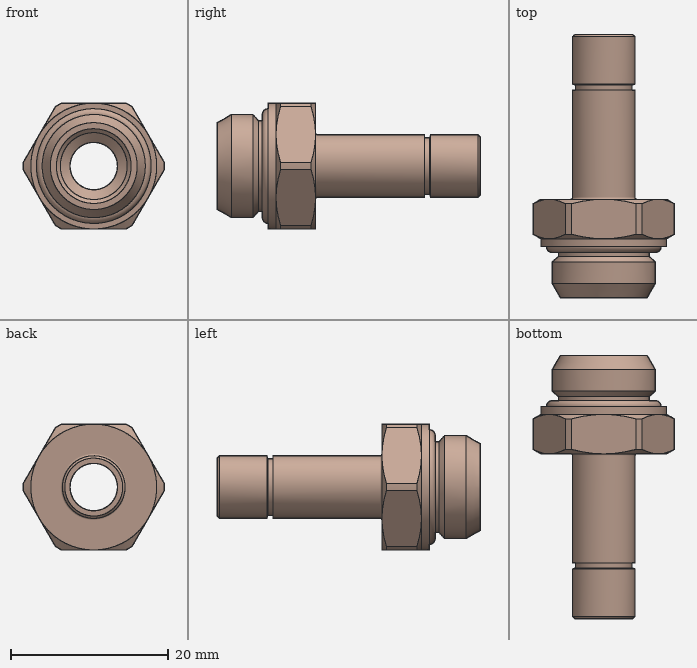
import cadquery as cq
import math

total_length = 33.5

thread_radius = 6.55
nose_radius = 5.53
nose_length = 1.8
thread_end = 4.55
relief_start = 5.25
relief_radius = 5.8

seal_outer_radius = 7.3
seal_section_radius = (seal_outer_radius - relief_radius) / 2

collar_front = 6.5
hex_front = 7.5
hex_back = 12.53
across_flats = 16.0
collar_radius = across_flats / 2
hex_corner_diameter = 18.0
hex_chamfer_angle = math.radians(30)

stem_radius = 4.0
stem_root_fillet = 0.25
stem_end_chamfer = 0.3
groove_radius = 3.62
groove_front = 26.4
groove_back = 27.17
groove_lead = 0.15

bore_radius = 2.998
counterbore_radius = 4.25
mouth_radius = 4.75
mouth_chamfer = mouth_radius - counterbore_radius
counterbore_depth = 9.38
drill_point_half_angle = math.radians(59)


def revolve_profile(profile):
    """Turn a profile drawn as (radius, Y) about the Y axis."""
    return profile.close().revolve(360, (0, 0, 0), (0, 1, 0))


def make_turned_body():
    return revolve_profile(
        cq.Workplane("XY")
        .moveTo(0, 0)
        .lineTo(nose_radius, 0)
        .lineTo(thread_radius, nose_length)
        .lineTo(thread_radius, thread_end)
        .lineTo(relief_radius, relief_start)
        .lineTo(relief_radius, collar_front)
        .threePointArc(
            (relief_radius + seal_section_radius, collar_front - seal_section_radius),
            (seal_outer_radius, collar_front),
        )
        .lineTo(collar_radius, collar_front)
        .lineTo(collar_radius, hex_back)
        .lineTo(stem_radius + stem_root_fillet, hex_back)
        .radiusArc((stem_radius, hex_back + stem_root_fillet), stem_root_fillet)
        .lineTo(stem_radius, groove_front)
        .lineTo(groove_radius, groove_front)
        .lineTo(groove_radius, groove_back - groove_lead)
        .lineTo(stem_radius, groove_back)
        .lineTo(stem_radius, total_length - stem_end_chamfer)
        .lineTo(stem_radius - stem_end_chamfer, total_length)
        .lineTo(0, total_length)
    )


def make_hexagon():
    """Hexagon with corners along X, rounded to a cylinder and chamfered on both ends."""
    prism = (
        cq.Workplane("XZ", origin=(0, hex_front, 0))
        .polygon(6, across_flats / math.cos(math.pi / 6))
        .extrude(-(hex_back - hex_front))
    )
    corner_radius = hex_corner_diameter / 2
    chamfer_height = (corner_radius - collar_radius) * math.tan(hex_chamfer_angle)
    envelope = revolve_profile(
        cq.Workplane("XY")
        .moveTo(0, hex_front)
        .lineTo(collar_radius, hex_front)
        .lineTo(corner_radius, hex_front + chamfer_height)
        .lineTo(corner_radius, hex_back - chamfer_height)
        .lineTo(collar_radius, hex_back)
        .lineTo(0, hex_back)
    )
    return prism.intersect(envelope)


def make_bore():
    """Through bore with a drilled, chamfered counterbore from the threaded end."""
    drill_point_depth = (counterbore_radius - bore_radius) / math.tan(drill_point_half_angle)
    return revolve_profile(
        cq.Workplane("XY")
        .moveTo(0, 0)
        .lineTo(mouth_radius, 0)
        .lineTo(counterbore_radius, mouth_chamfer)
        .lineTo(counterbore_radius, counterbore_depth)
        .lineTo(bore_radius, counterbore_depth + drill_point_depth)
        .lineTo(bore_radius, total_length)
        .lineTo(0, total_length)
    )


result = make_turned_body().union(make_hexagon()).cut(make_bore())